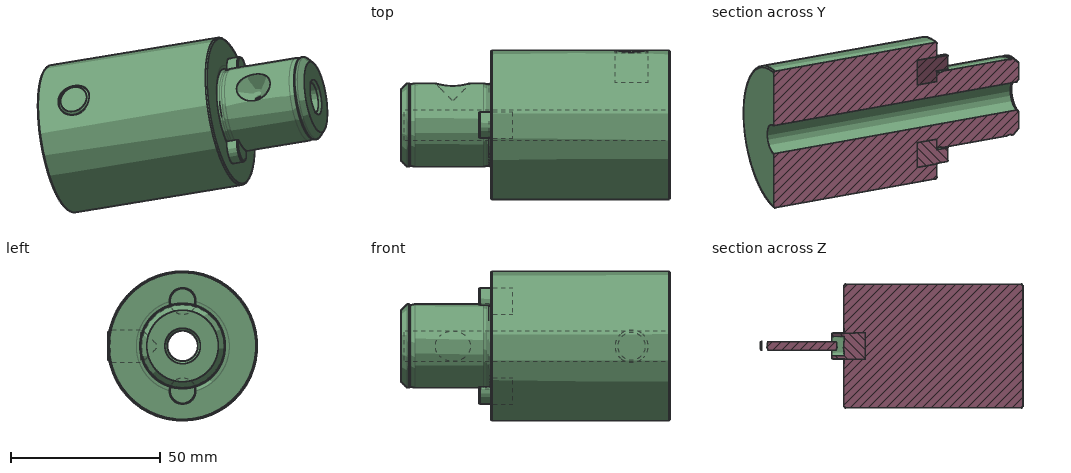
import cadquery as cq
import math

total_length = 90.0
body_radius = 25.0
shank_length = 30.0
body_chamfer = 0.495

shank_radius = 14.0
tip_face_radius = 12.0
tip_round_radius = 0.6

groove_depth = 0.315
groove_radius = shank_radius - groove_depth
tip_groove_start = 2.6
tip_groove_floor_start = 3.1
tip_groove_floor_end = 3.3
tip_groove_end = 4.7
root_groove_start = 27.5
root_taper_angle = 15.0
root_taper_end = root_groove_start + groove_depth / math.tan(math.radians(root_taper_angle))

relief_radius = 15.6
relief_inner_radius = 14.3
relief_depth = 0.2
relief_bottom = shank_length + relief_depth
relief_round_run = 0.7

bore_radius = 5.0
bore_mouth_radius = 5.9
bore_mouth_depth = bore_mouth_radius - bore_radius

pin_radius = 4.4
pin_offset = 15.0
pin_protrusion = 4.0
pin_embedded_length = 7.2
pin_chamfer_length = 0.45
pin_chamfer_depth = 0.3
pin_clearance_radius = 14.3

end_to_screw = 13.0
screw_radius = 5.5
screw_chamfer = 0.9
screw_length = 10.8
screw_x = total_length - end_to_screw

seat_x = 17.3
seat_rim_radius = 5.9


def x_cylinder(radius, start, end, z=0.0):
    """Solid cylinder along X between two X positions."""
    return cq.Workplane("YZ", origin=(start, 0, z)).circle(radius).extrude(end - start)


def screw_cylinder():
    """Solid cylinder along Y from the outermost line of the body inward, filling the screw hole."""
    return cq.Workplane("XZ", origin=(screw_x, body_radius, 0)).circle(screw_radius).extrude(screw_length)


def drive_pin(side):
    """Drive pin on the +Z (side = 1) or -Z (side = -1) side, its exposed end cut to clear the shank."""
    start = shank_length - pin_protrusion
    end = shank_length + pin_embedded_length
    pin = x_cylinder(pin_radius, start, end, side * pin_offset)
    pin = pin.faces("<X").chamfer(pin_chamfer_length, pin_chamfer_depth)
    return pin.cut(x_cylinder(pin_clearance_radius, start, relief_bottom))


def clamp_screw():
    """Flat-ended set screw with a chamfered outer end."""
    return screw_cylinder().faces(">Y").chamfer(screw_chamfer)


def turned_body():
    """Shank, flange face and cylinder turned about X, with the central bore."""
    round_run = tip_round_radius * math.sin(math.radians(45))
    round_rise = tip_round_radius - round_run
    chamfer_end_radius = shank_radius - round_rise
    chamfer_end = chamfer_end_radius - tip_face_radius
    outline = (
        cq.Workplane("XY")
        .moveTo(0, bore_mouth_radius)
        .lineTo(0, tip_face_radius)
        .lineTo(chamfer_end, chamfer_end_radius)
        .tangentArcPoint((chamfer_end + round_run, shank_radius), relative=False)
        .lineTo(tip_groove_start, shank_radius)
        .lineTo(tip_groove_floor_start, groove_radius)
        .lineTo(tip_groove_floor_end, groove_radius)
        .lineTo(tip_groove_end, shank_radius)
        .lineTo(root_groove_start, shank_radius)
        .lineTo(root_taper_end, groove_radius)
        .lineTo(relief_bottom - relief_round_run, groove_radius)
        .tangentArcPoint((relief_bottom, relief_inner_radius), relative=False)
        .lineTo(shank_length, relief_radius)
        .lineTo(shank_length, body_radius - body_chamfer)
        .lineTo(shank_length + body_chamfer, body_radius)
        .lineTo(total_length - body_chamfer, body_radius)
        .lineTo(total_length, body_radius - body_chamfer)
        .lineTo(total_length, bore_radius)
        .lineTo(bore_mouth_depth, bore_radius)
        .close()
    )
    return outline.revolve(360, (0, 0, 0), (1, 0, 0))


def clamping_seat():
    """Cone with its rim level with the shank surface and its point toward the X axis."""
    cone = cq.Solid.makeCone(
        seat_rim_radius, 0, seat_rim_radius, cq.Vector(seat_x, shank_radius, 0), cq.Vector(0, -1, 0)
    )
    return cq.Workplane(obj=cone)


pins = [drive_pin(side) for side in (1, -1)]
screw = clamp_screw()

body = turned_body().cut(clamping_seat()).cut(screw_cylinder())
for pin in pins:
    body = body.cut(pin)

result = cq.Compound.makeCompound([body.val(), screw.val(), *[pin.val() for pin in pins]])